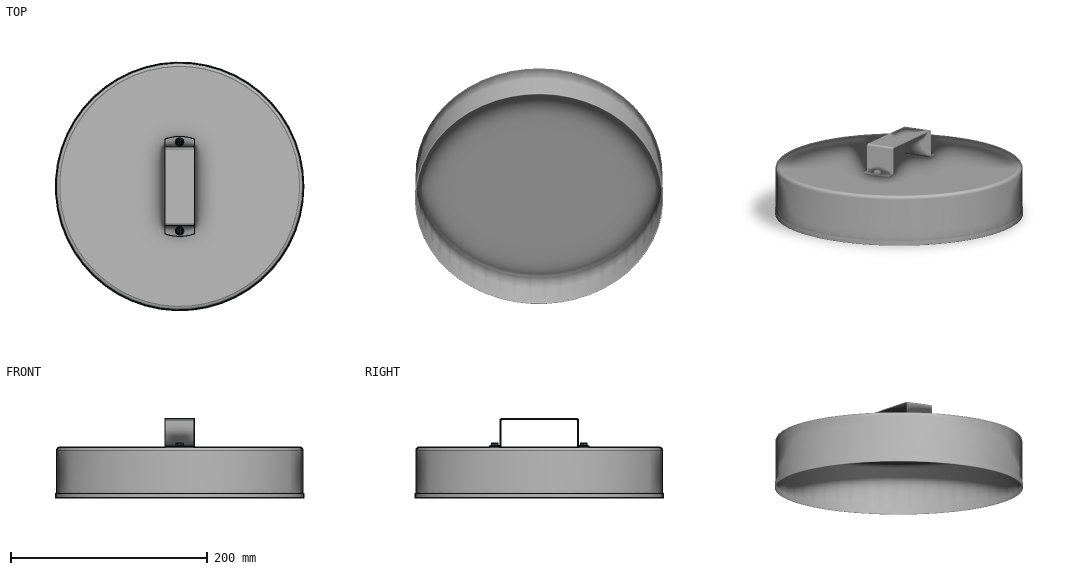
import cadquery as cq
import math

LID_DIAMETER = 251.4
LID_HEIGHT = 52.0
LID_SHEET = 0.5
LID_EDGE_RADIUS = 3.5
HEM_DIAMETER = 253.0
HEM_HEIGHT = 5.0

HANDLE_SHEET = 1.0
HANDLE_HEIGHT = 29.0
HANDLE_LENGTH = 80.0
HANDLE_WIDTH = 30.0
FOOT_REACH = 50.9
FOOT_END_RADIUS = 44.0
BEND_INNER_RADIUS = 1.0
BEND_OUTER_RADIUS = BEND_INNER_RADIUS + HANDLE_SHEET

FLANGE_DIAMETER = 8.4
FLANGE_THICKNESS = 0.8
HEX_ACROSS_FLATS = 6.4
HEX_ACROSS_CORNERS = HEX_ACROSS_FLATS / math.cos(math.pi / 6)
HEX_HEIGHT = 2.4
HEAD_BEVEL_HEIGHT = 0.4
INDENT_DIAMETER = 5.1
INDENT_DEPTH = 0.6
RECESS_LENGTH = 4.0
RECESS_WIDTH = 0.8
RECESS_DEPTH = 1.0
SHANK_DIAMETER = 4.0
SCREW_OFFSET = HANDLE_LENGTH / 2 + BEND_INNER_RADIUS + FLANGE_DIAMETER / 2
SCREW_POSITIONS = [(0, -SCREW_OFFSET), (0, SCREW_OFFSET)]
SHANK_BOTTOM = LID_HEIGHT - LID_SHEET
FOOT_TOP = LID_HEIGHT + HANDLE_SHEET


def drill_screw_holes(body):
    """Cut the two screw holes through everything between the shank ends."""
    holes = (
        cq.Workplane("XY", origin=(0, 0, SHANK_BOTTOM))
        .pushPoints(SCREW_POSITIONS)
        .circle(SHANK_DIAMETER / 2)
        .extrude(FOOT_TOP - SHANK_BOTTOM)
    )
    return body.cut(holes)


def make_lid():
    """Revolve the sheet section: top plate, rounded edge, wall and folded hem."""
    outer = LID_DIAMETER / 2
    inner = outer - LID_SHEET
    hem_outer = HEM_DIAMETER / 2
    hem_inner = hem_outer - LID_SHEET
    fold_center = (inner + hem_outer) / 2
    fold_outer_radius = (hem_outer - inner) / 2
    fold_inner_radius = fold_outer_radius - LID_SHEET
    fold_z = fold_outer_radius
    edge_start = outer - LID_EDGE_RADIUS
    edge_z = LID_HEIGHT - LID_EDGE_RADIUS
    edge_inner_radius = LID_EDGE_RADIUS - LID_SHEET
    diagonal = math.sqrt(0.5)

    section = (
        cq.Workplane("XZ")
        .moveTo(0, LID_HEIGHT)
        .lineTo(edge_start, LID_HEIGHT)
        .threePointArc(
            (edge_start + LID_EDGE_RADIUS * diagonal, edge_z + LID_EDGE_RADIUS * diagonal),
            (outer, edge_z),
        )
        .lineTo(outer, fold_z)
        .threePointArc((fold_center, fold_z - fold_inner_radius), (hem_inner, fold_z))
        .lineTo(hem_inner, HEM_HEIGHT)
        .lineTo(hem_outer, HEM_HEIGHT)
        .lineTo(hem_outer, fold_z)
        .threePointArc((fold_center, fold_z - fold_outer_radius), (inner, fold_z))
        .lineTo(inner, edge_z)
        .threePointArc(
            (edge_start + edge_inner_radius * diagonal, edge_z + edge_inner_radius * diagonal),
            (edge_start, SHANK_BOTTOM),
        )
        .lineTo(0, SHANK_BOTTOM)
        .close()
    )
    return drill_screw_holes(section.revolve(360, (0, 0, 0), (0, 1, 0)))


def make_handle():
    """Bend the strip over the lid, arch the foot ends and drill it."""
    half_width = HANDLE_WIDTH / 2
    leg_outer = HANDLE_LENGTH / 2
    leg_inner = leg_outer - HANDLE_SHEET
    handle_top = LID_HEIGHT + HANDLE_HEIGHT

    strip = (
        cq.Workplane("YZ")
        .moveTo(-FOOT_REACH, LID_HEIGHT)
        .lineTo(-leg_inner, LID_HEIGHT)
        .lineTo(-leg_inner, handle_top - HANDLE_SHEET)
        .lineTo(leg_inner, handle_top - HANDLE_SHEET)
        .lineTo(leg_inner, LID_HEIGHT)
        .lineTo(FOOT_REACH, LID_HEIGHT)
        .lineTo(FOOT_REACH, FOOT_TOP)
        .lineTo(leg_outer, FOOT_TOP)
        .lineTo(leg_outer, handle_top)
        .lineTo(-leg_outer, handle_top)
        .lineTo(-leg_outer, FOOT_TOP)
        .lineTo(-FOOT_REACH, FOOT_TOP)
        .close()
        .extrude(half_width, both=True)
    )

    def bend_edges(y, z):
        """Select the two mirrored bend edges that run along X at +-y and height z."""
        tolerance = HANDLE_SHEET / 10
        reach_x = half_width + tolerance
        picks = [
            cq.selectors.BoxSelector(
                (-reach_x, side * y - tolerance, z - tolerance),
                (reach_x, side * y + tolerance, z + tolerance),
            )
            for side in (-1, 1)
        ]
        return picks[0] + picks[1]

    strip = strip.edges(bend_edges(leg_outer, handle_top)).fillet(BEND_OUTER_RADIUS)
    strip = strip.edges(bend_edges(leg_inner, LID_HEIGHT)).fillet(BEND_OUTER_RADIUS)
    strip = strip.edges(bend_edges(leg_inner, handle_top - HANDLE_SHEET)).fillet(BEND_INNER_RADIUS)
    strip = strip.edges(bend_edges(leg_outer, FOOT_TOP)).fillet(BEND_INNER_RADIUS)

    arc_drop = FOOT_END_RADIUS - math.sqrt(FOOT_END_RADIUS**2 - half_width**2)
    corner_y = FOOT_REACH - arc_drop
    plan_outline = (
        cq.Workplane("XY", origin=(0, 0, LID_HEIGHT))
        .moveTo(half_width, -corner_y)
        .lineTo(half_width, corner_y)
        .threePointArc((0, FOOT_REACH), (-half_width, corner_y))
        .lineTo(-half_width, -corner_y)
        .threePointArc((0, -FOOT_REACH), (half_width, -corner_y))
        .close()
        .extrude(HANDLE_HEIGHT)
    )
    return drill_screw_holes(strip.intersect(plan_outline))


def make_screw(position):
    """Shank through foot and lid, round flange, hexagon head, round indent and cross recess."""
    x, y = position
    flange_top = FOOT_TOP + FLANGE_THICKNESS
    head_top = flange_top + HEX_HEIGHT
    indent_floor = head_top - INDENT_DEPTH
    shank = (
        cq.Workplane("XY", origin=(x, y, SHANK_BOTTOM))
        .circle(SHANK_DIAMETER / 2)
        .extrude(FOOT_TOP - SHANK_BOTTOM)
    )
    flange = (
        cq.Workplane("XY", origin=(x, y, FOOT_TOP))
        .circle(FLANGE_DIAMETER / 2)
        .extrude(FLANGE_THICKNESS)
    )
    head = (
        cq.Workplane("XY", origin=(x, y, flange_top))
        .polygon(6, HEX_ACROSS_CORNERS)
        .extrude(HEX_HEIGHT)
    )
    bevel_limit = (
        cq.Workplane("XY", origin=(x, y, flange_top))
        .circle(HEX_ACROSS_CORNERS / 2)
        .extrude(HEX_HEIGHT - HEAD_BEVEL_HEIGHT)
        .faces(">Z")
        .workplane()
        .circle(HEX_ACROSS_CORNERS / 2)
        .workplane(offset=HEAD_BEVEL_HEIGHT)
        .circle(HEX_ACROSS_FLATS / 2)
        .loft(ruled=True)
    )
    head = head.intersect(bevel_limit)
    indent = (
        cq.Workplane("XY", origin=(x, y, indent_floor))
        .circle(INDENT_DIAMETER / 2)
        .extrude(INDENT_DEPTH)
    )
    screw = shank.union(flange).union(head).cut(indent)
    for size_x, size_y in [(RECESS_LENGTH, RECESS_WIDTH), (RECESS_WIDTH, RECESS_LENGTH)]:
        slot = (
            cq.Workplane("XY", origin=(x, y, indent_floor - RECESS_DEPTH))
            .rect(size_x, size_y)
            .extrude(RECESS_DEPTH)
        )
        screw = screw.cut(slot)
    return screw


lid = make_lid()
handle = make_handle()
screws = [make_screw(position) for position in SCREW_POSITIONS]

result = cq.Compound.makeCompound([lid.val(), handle.val(), *[screw.val() for screw in screws]])